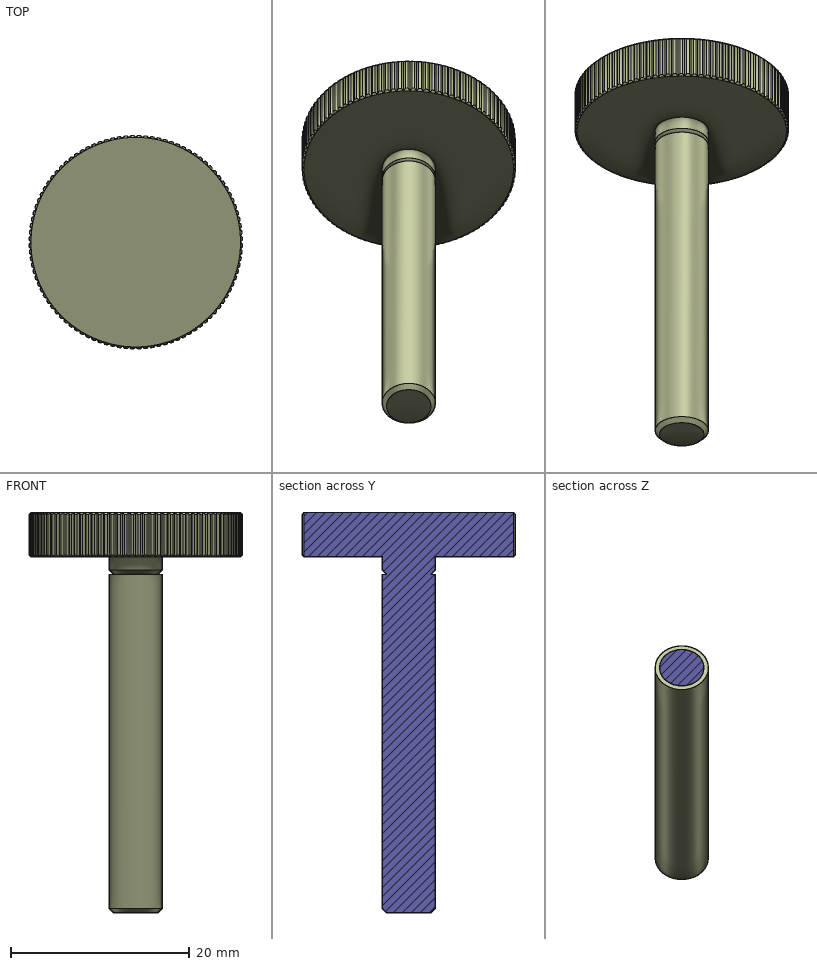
import cadquery as cq
import math

total_length = 45.0
head_diameter = 24.0
head_height = 5.0
shaft_diameter = 6.0

groove_count = 100
groove_depth = 0.22

collar_length = 2.0
end_chamfer = 0.5

head_radius = head_diameter / 2
root_radius = head_radius - groove_depth
shaft_radius = shaft_diameter / 2
neck_radius = shaft_radius - end_chamfer
head_bottom = total_length - head_height
step_height = head_bottom - collar_length


def rim_point(radius, angle):
    """Point at a radius, turned from +X by an angle in radians."""
    return (radius * math.cos(angle), radius * math.sin(angle))


def knurl_outline():
    """Closed rim outline, with one groove centred on +X."""
    pitch_angle = 2 * math.pi / groove_count
    half_mouth_angle = groove_depth / head_radius
    points = []
    for groove in range(groove_count):
        groove_angle = groove * pitch_angle
        points += [
            rim_point(head_radius, groove_angle - half_mouth_angle),
            rim_point(root_radius, groove_angle),
            rim_point(head_radius, groove_angle + half_mouth_angle),
        ]
    return points


def make_head():
    """Knurled disc whose rim is bevelled at 45 degrees down to the groove roots at both faces."""
    knurled_disc = (
        cq.Workplane("XY")
        .workplane(offset=head_bottom)
        .polyline(knurl_outline())
        .close()
        .extrude(head_height)
    )
    bevelled_blank = (
        cq.Workplane("YZ")
        .moveTo(0, head_bottom)
        .lineTo(-root_radius, head_bottom)
        .lineTo(-head_radius, head_bottom + groove_depth)
        .lineTo(-head_radius, total_length - groove_depth)
        .lineTo(-root_radius, total_length)
        .lineTo(0, total_length)
        .close()
        .revolve(360, (0, 0, 0), (0, 1, 0))
    )
    return knurled_disc.intersect(bevelled_blank)


def make_shaft():
    """Plain shaft with a chamfered tip, joined to a collar that tapers to the step."""
    return (
        cq.Workplane("YZ")
        .moveTo(0, 0)
        .lineTo(-neck_radius, 0)
        .lineTo(-shaft_radius, end_chamfer)
        .lineTo(-shaft_radius, step_height)
        .lineTo(-neck_radius, step_height)
        .lineTo(-shaft_radius, step_height + end_chamfer)
        .lineTo(-shaft_radius, head_bottom)
        .lineTo(0, head_bottom)
        .close()
        .revolve(360, (0, 0, 0), (0, 1, 0))
    )


result = make_head().union(make_shaft())